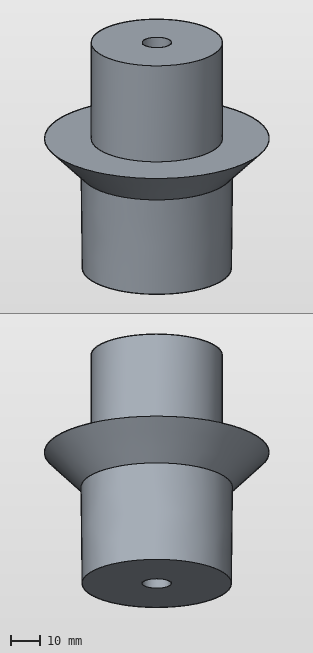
import cadquery as cq

total_height = 82.5
flange_bottom_z = 34.7
flange_top_z = 47.35

base_bottom_diameter = 51.15
base_top_diameter = 51.9
flange_diameter = 77.0
spigot_diameter = 45.0
bore_diameter = 10.0

profile = [
    (0, 0),
    (base_bottom_diameter / 2, 0),
    (base_top_diameter / 2, flange_bottom_z),
    (flange_diameter / 2, flange_top_z),
    (spigot_diameter / 2, flange_top_z),
    (spigot_diameter / 2, total_height),
    (0, total_height),
]
body = cq.Workplane("YZ").polyline(profile).close().revolve(360, (0, 0, 0), (0, 1, 0))

bore = cq.Workplane("XY").circle(bore_diameter / 2).extrude(total_height)

result = body.cut(bore)